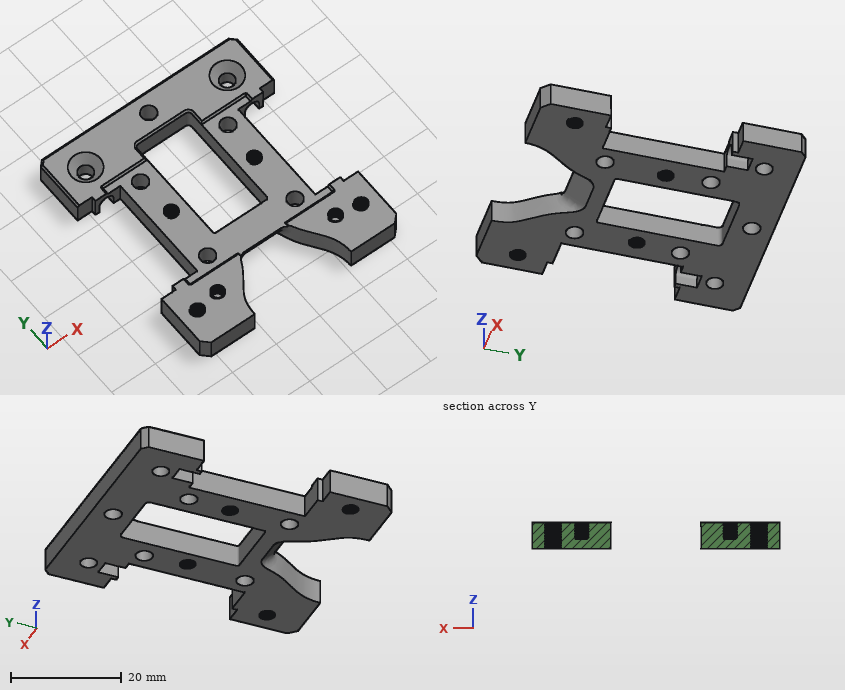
import cadquery as cq
import math

width = 45
length = 50
thickness = 4.8
half_width = width / 2
half_length = length / 2
rear_corner_chamfer = 1.1
rear_edge_chamfer = 0.4
foot_corner_chamfer = 1.5

waist_center_y = 0.4
web_half_width = 13.5
notch_half_length = 11.5
notch_rear_y = waist_center_y + notch_half_length
notch_front_y = waist_center_y - notch_half_length
tab_half_width = 19.2
tab_length = 1

pocket_depth = 0.4
pocket_floor_z = thickness - pocket_depth
pocket_floor_width = 32.6
pocket_floor_length = 25.9
pocket_mouth_half_width = 5.4
flare_angle = 45

window_half_width = 6.2
window_front_y = -6.6
window_rear_y = 17.05
window_front_radius = 0.4
window_rear_radius = 0.8

cutout_front = (11, -half_length)
cutout_bends = [(9.2, -19.3), (6.45, -15.35)]
cutout_end = (3.4, -8)
cutout_front_tangent = (0, 1)
cutout_end_tangent = (-0.4, 0.9)

lip_y = -13.05
lip_height = 0.2
lip_radius = 2
underside_angle = math.radians(45)
cutout_corner_radius = 2

clearance_diameter = 3.2
clearance_spacing = 20
center_hole_y = 21
countersunk_diameter = 3.1
countersink_diameter = 6.5
countersink_angle = 90
countersunk_x = 16.2
countersunk_y = 18.7

thread_minor_radius = 2.55 / 2
thread_major_radius = 2.95 / 2
thread_pitch = 0.5
thread_mouth = 0.45
thread_root = 0.1
thread_overlap = 0.05
thread_overrun = 0.15
web_thread = (9.5, 2)
foot_thread = (18.7, -17.85)
blind_thread = (13.5, -17)
blind_thread_depth = 3

channel_x = 16.65
channel_radius = 1.6
channel_top_z = 3.4
channel_length = 4


def box(x_min, x_max, y_min, y_max, z_min, z_max):
    block = cq.Workplane("XY").box(x_max - x_min, y_max - y_min, z_max - z_min, centered=False)
    return block.translate((x_min, y_min, z_min))


def centered_slab(half_span, y_min, y_max):
    """Full-thickness block, symmetric about X = 0."""
    return box(-half_span, half_span, y_min, y_max, 0, thickness)


def make_blank():
    """H-shaped plate: rear bar, front bar, their tabs and the web joining them."""
    rear_tab_end = notch_rear_y + tab_length
    front_tab_end = notch_front_y - tab_length
    rear_bar = (
        centered_slab(half_width, rear_tab_end, half_length)
        .edges("|Z and >Y").chamfer(rear_corner_chamfer)
        .faces(">Z").edges("not <Y").chamfer(rear_edge_chamfer)
    )
    front_bar = (
        centered_slab(half_width, -half_length, front_tab_end)
        .edges("|Z and <Y").chamfer(foot_corner_chamfer)
    )
    return (
        rear_bar
        .union(front_bar)
        .union(centered_slab(tab_half_width, notch_rear_y, rear_tab_end))
        .union(centered_slab(tab_half_width, front_tab_end, notch_front_y))
        .union(centered_slab(web_half_width, notch_front_y, notch_rear_y))
    )


def make_pocket():
    """Flared pocket, plus the flat mouth that opens it into the cutout."""
    flared = (
        cq.Workplane("XY", origin=(0, waist_center_y, pocket_floor_z))
        .rect(pocket_floor_width, pocket_floor_length)
        .extrude(pocket_depth, taper=-flare_angle)
    )
    mouth = box(
        -pocket_mouth_half_width, pocket_mouth_half_width,
        lip_y - pocket_depth, waist_center_y, pocket_floor_z, thickness,
    )
    return flared.union(mouth)


def make_window():
    """Window with walls that flare outward above the pocket floor."""
    window = (
        box(-window_half_width, window_half_width, window_front_y, window_rear_y, 0, pocket_floor_z)
        .edges("|Z and >Y").fillet(window_rear_radius)
        .edges("|Z and <Y").fillet(window_front_radius)
    )
    flare = (
        window.faces(">Z").wires().toPending().workplane()
        .extrude(pocket_depth, combine=False, taper=-flare_angle)
    )
    return window.union(flare)


def make_cutout_plan():
    """Full-thickness prism between the two S-shaped sides."""
    front_x, front_y = cutout_front
    end_x, end_y = cutout_end
    tangent_x, tangent_y = cutout_end_tangent
    mirrored_bends = [(-x, y) for x, y in reversed(cutout_bends)]
    return (
        cq.Workplane("XY")
        .moveTo(front_x, front_y)
        .spline(
            cutout_bends + [cutout_end],
            tangents=[cutout_front_tangent, cutout_end_tangent],
            includeCurrent=True,
        )
        .lineTo(-end_x, end_y)
        .spline(
            mirrored_bends + [(-front_x, front_y)],
            tangents=[(tangent_x, -tangent_y), (0, -1)],
            includeCurrent=True,
        )
        .close()
        .extrude(thickness)
    )


def lip_arc_point(angle, start_z):
    """Point (Y, Z) on the rounded lip, after turning by the angle from upright."""
    y = lip_y + lip_radius * (1 - math.cos(angle))
    return y, start_z - lip_radius * math.sin(angle)


def make_cutout():
    arc_start_z = pocket_floor_z - lip_height
    arc_end_y, arc_end_z = lip_arc_point(underside_angle, arc_start_z)
    underside_y = arc_end_y + arc_end_z * math.tan(underside_angle)
    side_profile = (
        cq.Workplane("YZ")
        .moveTo(-half_length, 0)
        .lineTo(underside_y, 0)
        .lineTo(arc_end_y, arc_end_z)
        .threePointArc(lip_arc_point(underside_angle / 2, arc_start_z), (lip_y, arc_start_z))
        .lineTo(lip_y, thickness)
        .lineTo(-half_length, thickness)
        .close()
        .extrude(half_width, both=True)
    )
    inner_corners = cq.selectors.BoxSelector(
        (-cutout_front[0], lip_y - 0.05, 0.05),
        (cutout_front[0], cutout_end[1], thickness - 0.05),
    ) - cq.selectors.ParallelDirSelector(cq.Vector(1, 0, 0))
    cutout = make_cutout_plan().intersect(side_profile)
    return cutout.edges(inner_corners).fillet(cutout_corner_radius)


def make_threaded_hole(depth):
    """Threaded hole going down from Z = 0: a bore with a helical V groove."""
    helix = cq.Wire.makeHelix(thread_pitch, depth + 2 * thread_pitch, thread_minor_radius)
    inner_radius = thread_minor_radius - thread_overlap
    groove = (
        cq.Workplane("XZ")
        .moveTo(inner_radius, -thread_mouth / 2)
        .lineTo(thread_major_radius, -thread_root / 2)
        .lineTo(thread_major_radius, thread_root / 2)
        .lineTo(inner_radius, thread_mouth / 2)
        .close()
        .sweep(cq.Workplane(obj=helix), isFrenet=True)
        .translate((0, 0, -depth - thread_pitch))
    )
    envelope = cq.Workplane("XY").circle(2 * thread_major_radius).extrude(-depth)
    bore = cq.Workplane("XY").circle(thread_minor_radius).extrude(-depth)
    return bore.union(groove.intersect(envelope))


def make_channel():
    """Channel at X = 0, starting at the face of the rear notch."""
    center_z = channel_top_z - channel_radius
    round_top = (
        cq.Workplane("XZ", origin=(0, notch_rear_y, center_z))
        .circle(channel_radius)
        .extrude(-channel_length)
    )
    straight_sides = box(
        -channel_radius, channel_radius, notch_rear_y, notch_rear_y + channel_length, 0, center_z
    )
    return round_top.union(straight_sides)


def cut_plain_holes(body):
    offset = clearance_spacing / 2
    clearance_points = [
        (x, waist_center_y + y) for x in (-offset, offset) for y in (-offset, offset)
    ]
    clearance_points.append((0, center_hole_y))
    clearance_holes = (
        cq.Workplane("XY")
        .pushPoints(clearance_points)
        .circle(clearance_diameter / 2)
        .extrude(thickness)
    )
    return (
        body.cut(clearance_holes)
        .faces(">Z").workplane(origin=(0, 0, thickness))
        .pushPoints([(-countersunk_x, countersunk_y), (countersunk_x, countersunk_y)])
        .cskHole(countersunk_diameter, countersink_diameter, countersink_angle)
    )


def cut_both_sides(body, tool, x, y, z):
    """Cut the tool at (x, y, z) and again at (-x, y, z)."""
    for side in (-1, 1):
        body = body.cut(tool.translate((side * x, y, z)))
    return body


result = make_blank().cut(make_pocket()).cut(make_window()).cut(make_cutout())
result = cut_plain_holes(result)
result = cut_both_sides(result, make_channel(), channel_x, 0, 0)

web_hole = make_threaded_hole(pocket_floor_z + thread_overrun)
foot_hole = make_threaded_hole(thickness + thread_overrun)
blind_hole = make_threaded_hole(blind_thread_depth)
result = cut_both_sides(result, web_hole, *web_thread, pocket_floor_z)
result = cut_both_sides(result, foot_hole, *foot_thread, thickness)
result = cut_both_sides(result, blind_hole, *blind_thread, thickness)